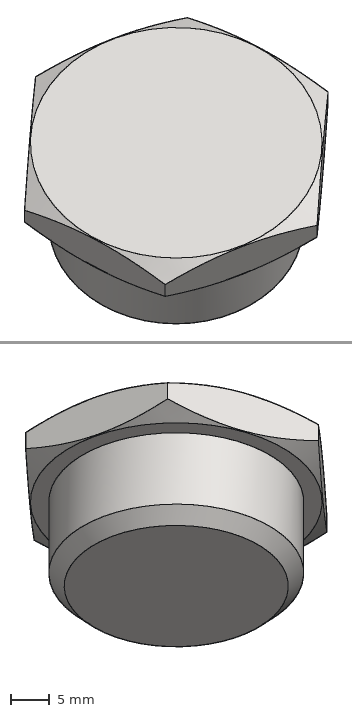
import cadquery as cq
import math

across_flats = 38.0
across_corners = across_flats / math.cos(math.radians(30))
head_height = 6.0
head_face_diameter = 37.8
head_bevel_angle = 30.0

shank_diameter = 33.05
shank_length = 13.0
shank_chamfer = 2.0


def bevel_envelope():
    """Turned body, coned at both ends, that trims the corners of the hexagon."""
    face_radius = head_face_diameter / 2
    outer_radius = across_corners / 2
    bevel_drop = (outer_radius - face_radius) * math.tan(math.radians(head_bevel_angle))
    profile = [
        (0, 0),
        (face_radius, 0),
        (outer_radius, bevel_drop),
        (outer_radius, head_height - bevel_drop),
        (face_radius, head_height),
        (0, head_height),
    ]
    return cq.Workplane("XZ").polyline(profile).close().revolve(360, (0, 0, 0), (0, 1, 0))


def hex_head():
    """Hexagon with corners on the X axis and bevelled on its top and bottom."""
    prism = cq.Workplane("XY").polygon(6, across_corners).extrude(head_height)
    return prism.intersect(bevel_envelope())


def shank():
    """Cylinder hanging from the head, chamfered at its free end."""
    cylinder = cq.Workplane("XY").circle(shank_diameter / 2).extrude(-shank_length)
    return cylinder.faces("<Z").chamfer(shank_chamfer)


result = hex_head().union(shank())